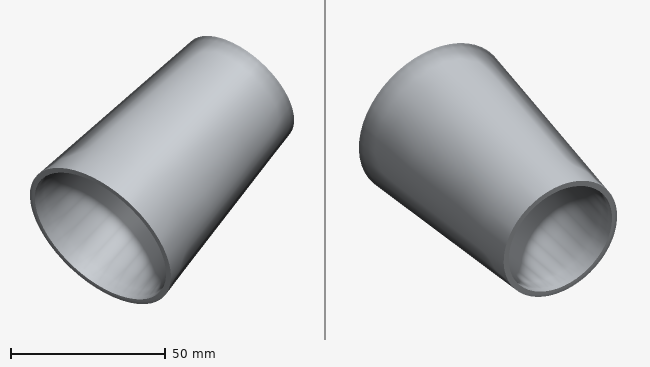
import cadquery as cq

length = 76.0
wide_diameter = 57.0
narrow_diameter = 44.0
wall = 2.0

wide_radius = wide_diameter / 2
narrow_radius = narrow_diameter / 2
front_y = -length / 2
back_y = length / 2

wall_section = (
    cq.Workplane("YZ")
    .moveTo(front_y, wide_radius - wall)
    .lineTo(front_y, wide_radius)
    .lineTo(back_y, narrow_radius)
    .lineTo(back_y, narrow_radius - wall)
    .close()
)

result = wall_section.revolve(360, (0, 0, 0), (1, 0, 0))